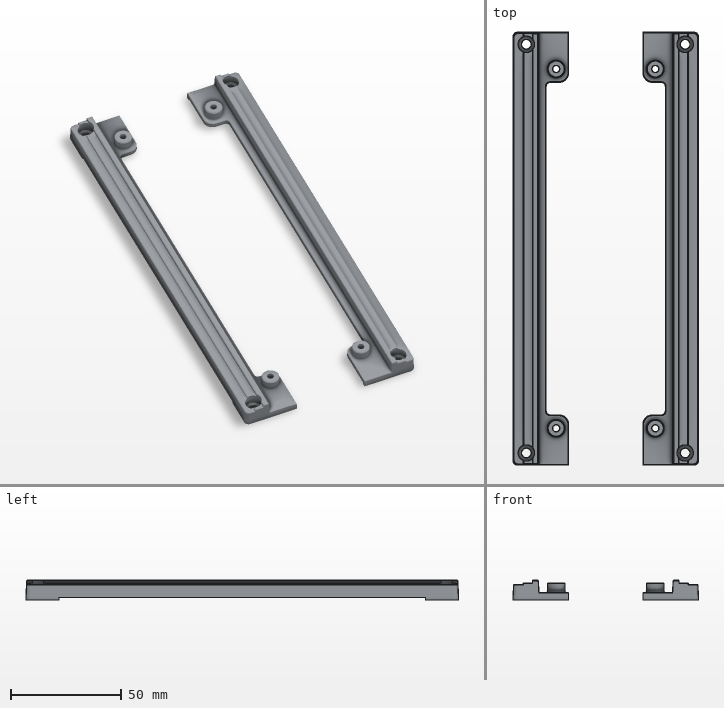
import cadquery as cq
import math

length = 196.0
overall_width = 84.0
overall_height = 9.0
half_length = length / 2
outer_x = -overall_width / 2

lip_height = 1.2
plate_top = 3.3
outer_step_top = 7.0
middle_step_top = 7.8
boss_top = 7.8

middle_step_offset = 4.3
inner_step_offset = 8.5
beam_width = 12.0
strip_width = 15.0
ear_width = 25.3

ear_length = 22.7
outer_corner_radius = 2.2
ear_corner_radius = 4.5
ear_root_radius = 1.8

plate_chamfer = 0.2
beam_chamfer = 0.3
draft_angle = 3.0

lip_thickness = 1.8
lip_length = 15.0

mount_offset = 6.0
mount_end_distance = 5.5
mount_hole_diameter = 4.3
counterbore_diameter = 7.5
counterbore_floor = plate_top

boss_offset = 19.6
boss_end_distance = 16.7
boss_diameter = 8.0
boss_hole_diameter = 3.1
boss_foot_radius = 0.5
boss_top_chamfer = 0.4

end_signs = (-1, 1)


def disc(offset, end_distance, end_sign, diameter, bottom, top):
    """Vertical cylinder placed from the outer side and from one end."""
    centre = (outer_x + offset, end_sign * (half_length - end_distance), bottom)
    return cq.Workplane("XY", origin=centre).circle(diameter / 2).extrude(top - bottom)


def drafted(outline, top, rim_chamfer):
    """Raise an outline from the parting plane at the top of the lips, chamfering the top rim."""
    base = cq.Workplane("XY", origin=(outer_x, 0, lip_height))
    solid = base.placeSketch(outline).extrude(top - lip_height, taper=draft_angle)
    return solid.faces(">Z").chamfer(rim_chamfer)


def make_plate():
    """C-shaped base: a slim strip with an ear at each end."""
    ear_y = half_length - ear_length
    outline = cq.Sketch().polygon([
        (0, -half_length),
        (ear_width, -half_length),
        (ear_width, -ear_y),
        (strip_width, -ear_y),
        (strip_width, ear_y),
        (ear_width, ear_y),
        (ear_width, half_length),
        (0, half_length),
        (0, -half_length),
    ])
    for x, y, radius in (
        (0, half_length, outer_corner_radius),
        (strip_width, ear_y, ear_root_radius),
        (ear_width, ear_y, ear_corner_radius),
    ):
        for end_sign in end_signs:
            corner = cq.NearestToPointSelector((x, end_sign * y, 0))
            outline = outline.reset().vertices(corner).fillet(radius)
    return drafted(outline.reset(), plate_top, plate_chamfer)


def make_step(offset, top, corner_radius):
    """Full-length step from an offset to the inner side of the beam."""
    outline = (
        cq.Sketch()
        .push([((offset + beam_width) / 2, 0)])
        .rect(beam_width - offset, length)
        .reset()
    )
    if corner_radius > 0:
        outline = outline.vertices("<X").fillet(corner_radius).reset()
    return drafted(outline, top, beam_chamfer)


def make_beam():
    """Full-length beam whose top climbs inward in three steps."""
    outer_step = make_step(0, outer_step_top, outer_corner_radius)
    middle_step = make_step(middle_step_offset, middle_step_top, 0)
    inner_step = make_step(inner_step_offset, overall_height, 0)
    return outer_step.union(middle_step).union(inner_step)


def make_lip(end_sign):
    """L-shaped lip under one end, drafted downward from the parting plane."""
    outline = (
        cq.Sketch()
        .push([(ear_width / 2, half_length - lip_thickness / 2)])
        .rect(ear_width, lip_thickness)
        .reset()
        .push([(lip_thickness / 2, half_length - lip_length / 2)])
        .rect(lip_thickness, lip_length)
        .reset()
        .clean()
        .vertices("<X and >Y")
        .fillet(outer_corner_radius)
        .reset()
    )
    base = cq.Workplane("XY", origin=(outer_x, 0, lip_height))
    lip = base.placeSketch(outline).extrude(-lip_height, taper=draft_angle)
    return lip if end_sign > 0 else lip.mirror("XZ")


def make_boss(end_sign):
    """Round boss with a chamfered rim and a concave flare at its foot."""
    radius = boss_diameter / 2
    flare_bend = boss_foot_radius * (1 - math.sqrt(0.5))
    profile = (
        cq.Workplane("XZ")
        .moveTo(0, plate_top)
        .lineTo(radius + boss_foot_radius, plate_top)
        .threePointArc(
            (radius + flare_bend, plate_top + flare_bend),
            (radius, plate_top + boss_foot_radius),
        )
        .lineTo(radius, boss_top - boss_top_chamfer)
        .lineTo(radius - boss_top_chamfer, boss_top)
        .lineTo(0, boss_top)
        .close()
    )
    boss = profile.revolve(360, (0, 0, 0), (0, 1, 0))
    boss_y = end_sign * (half_length - boss_end_distance)
    return boss.translate((outer_x + boss_offset, boss_y, 0))


def make_rail():
    """Left rail as one solid."""
    rail = make_plate().union(make_beam())
    for end_sign in end_signs:
        rail = rail.union(make_lip(end_sign)).union(make_boss(end_sign))
    for end_sign in end_signs:
        mount_hole = disc(mount_offset, mount_end_distance, end_sign, mount_hole_diameter, 0, overall_height)
        counterbore = disc(
            mount_offset, mount_end_distance, end_sign,
            counterbore_diameter, counterbore_floor, overall_height,
        )
        boss_hole = disc(boss_offset, boss_end_distance, end_sign, boss_hole_diameter, 0, boss_top)
        rail = rail.cut(mount_hole).cut(counterbore).cut(boss_hole)
    return rail


left_rail = make_rail()
right_rail = left_rail.mirror("YZ")

result = cq.Compound.makeCompound([left_rail.val(), right_rail.val()])